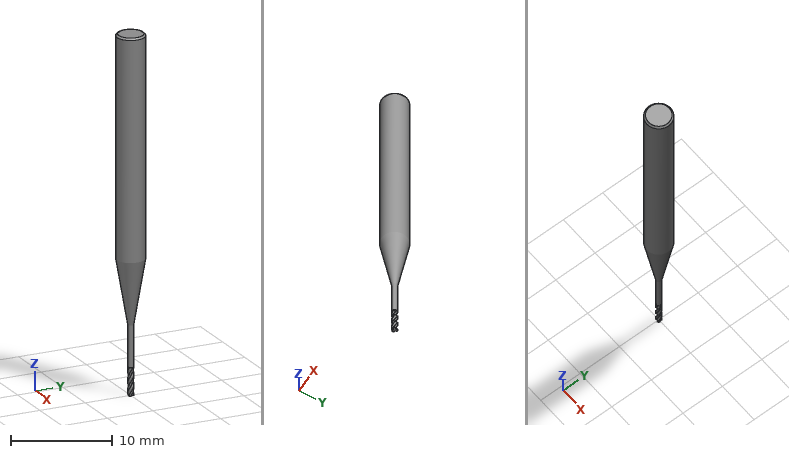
import cadquery as cq
import math

total_length = 38.0
shank_start = 14.4
taper_start = 7.4
flute_length = 3.0

shank_radius = 3.0 / 2
cutter_radius = 0.3
neck_radius = cutter_radius
shank_chamfer = 0.2

flute_count = 3
helix_angle = 30.0
flute_phase = 15.0
flute_radius = 0.2
flute_depth = 0.15
helix_pitch = 2 * math.pi * cutter_radius / math.tan(math.radians(helix_angle))
flute_twist = 360 * flute_length / helix_pitch


def polar(radius, degrees):
    """Point at a given radius and direction around the tool axis."""
    angle = math.radians(degrees)
    return (radius * math.cos(angle), radius * math.sin(angle))


def make_shank():
    """Turned body: neck, tapered cone and cylindrical shank with a chamfered end."""
    profile = [
        (0, flute_length),
        (neck_radius, flute_length),
        (neck_radius, taper_start),
        (shank_radius, shank_start),
        (shank_radius, total_length - shank_chamfer),
        (shank_radius - shank_chamfer, total_length),
        (0, total_length),
    ]
    return cq.Workplane("XZ").polyline(profile).close().revolve(360, (0, 0), (0, 1))


def make_cutter():
    """Fluted tip: a round section with round grooves, twisted right-handed up the axis."""
    groove_center = cutter_radius - flute_depth + flute_radius
    half_mouth = math.degrees(math.acos(
        (cutter_radius**2 + groove_center**2 - flute_radius**2) / (2 * cutter_radius * groove_center)
    ))
    spacing = 360 / flute_count
    section = cq.Workplane("XY").moveTo(*polar(cutter_radius, flute_phase - half_mouth))
    for index in range(flute_count):
        groove = flute_phase + index * spacing
        next_groove = groove + spacing
        section = section.threePointArc(
            polar(cutter_radius - flute_depth, groove), polar(cutter_radius, groove + half_mouth)
        )
        section = section.threePointArc(
            polar(cutter_radius, groove + spacing / 2), polar(cutter_radius, next_groove - half_mouth)
        )
    return section.close().twistExtrude(flute_length, flute_twist)


shank = make_shank()
cutter = make_cutter()

result = cq.Compound.makeCompound([shank.val(), cutter.val()])